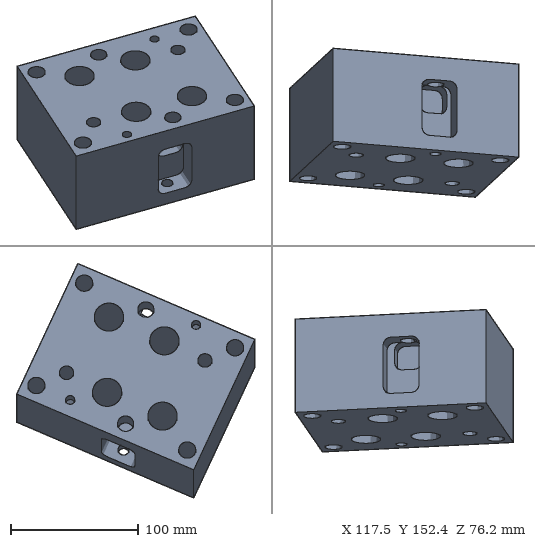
import cadquery as cq

length_x = 117.5
length_y = 152.4
height = 76.2
top = height / 2
bottom = -top

mount_diameter = 13.4
mount_x = 46.0
mount_y = 64.9

port_diameter = 23.0
port_x = 28.5
port_y_inner = 11.9
port_y_outer = 35.8

pilot_diameter = 11.1
pilot_x = 26.8
pilot_y = 47.5

pin_diameter = 7.2
pin_depth = 10.7
pin_point_height = 2.1
pin_places = [(-mount_x, 35.8), (50.6, -29.3)]

pocket_top_z = 19.4
pocket_depth = 16.6
pocket_width = 28.7
pocket_height = 45.9
pocket_corner_radius = 6.2
left_pocket_y = -11.1
right_pocket_y = 8.4

recess_depth = 12.2
recess_width = 22.0
recess_height = 22.4
recess_y = 11.1

cable_diameter = 12.6
cable_x = mount_x
cable_y = port_y_inner

drain_diameter = 8.7
drain_x = 48.2
left_drain_y = -11.1
right_drain_y = 6.2


def vertical_hole(diameter, x, y, z_from, z_to):
    return cq.Workplane("XY", origin=(x, y, z_from)).circle(diameter / 2).extrude(z_to - z_from)


def rounded_pocket(side, y, depth, width, opening_height):
    """Pocket sunk to the given depth from the side face (side is -1 or +1)."""
    return (
        cq.Workplane("XY")
        .box(depth, width, opening_height)
        .edges("|X")
        .fillet(pocket_corner_radius)
        .translate((side * (length_x - depth) / 2, y, pocket_top_z - opening_height / 2))
    )


def pin_hole(x, y):
    radius = pin_diameter / 2
    profile = [(0, 0), (radius, 0), (radius, -pin_depth), (0, -pin_depth - pin_point_height)]
    return (
        cq.Workplane("XZ")
        .polyline(profile)
        .close()
        .revolve(360, (0, 0), (0, 1))
        .translate((x, y, top))
    )


result = cq.Workplane("XY").box(length_x, length_y, height)

for side_x in (-1, 1):
    for side_y in (-1, 1):
        x = side_x * mount_x
        y = side_y * mount_y
        result = result.cut(vertical_hole(mount_diameter, x, y, bottom, top))

for side in (-1, 1):
    for y in (-port_y_inner, port_y_outer):
        result = result.cut(vertical_hole(port_diameter, side * port_x, side * y, bottom, top))
    result = result.cut(vertical_hole(pilot_diameter, side * pilot_x, -side * pilot_y, bottom, top))

for x, y in pin_places:
    result = result.cut(pin_hole(x, y))

wiring_sides = (
    (-1, left_pocket_y, left_drain_y),
    (1, right_pocket_y, right_drain_y),
)
pocket_floor_z = pocket_top_z - pocket_height
for side, pocket_y, drain_y in wiring_sides:
    pocket = rounded_pocket(side, pocket_y, pocket_depth, pocket_width, pocket_height)
    recess = rounded_pocket(
        side, side * recess_y, pocket_depth + recess_depth, recess_width, recess_height
    )
    cable_hole = vertical_hole(cable_diameter, side * cable_x, side * cable_y, pocket_top_z, top)
    drain_hole = vertical_hole(drain_diameter, side * drain_x, drain_y, bottom, pocket_floor_z)
    result = result.cut(pocket).cut(recess).cut(cable_hole).cut(drain_hole)